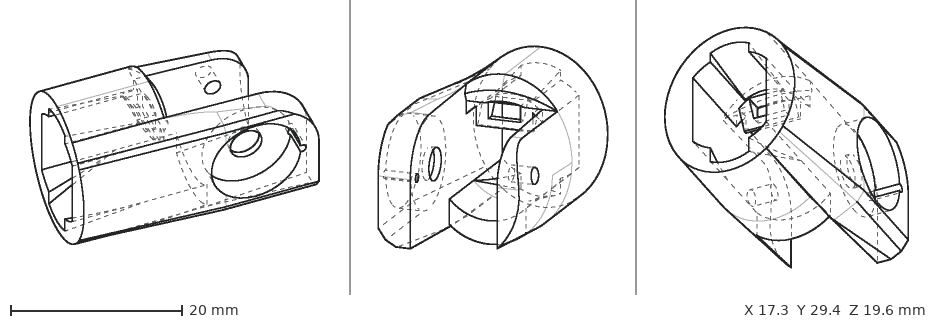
import cadquery as cq
import math

half_width = 8.45
half_height = 9.8
length = 29.43
upper_end = 11.55
lower_end = 16.92

bore_radius = 6.5
bore_half_width = 4.77
bore_corner_height = math.sqrt(bore_radius ** 2 - bore_half_width ** 2)

left_length = 26.02
left_tip_half_width = 7.53
left_tip_half_height = 8.68
left_top_root = 6.03
left_top_tip = 5.45
left_corner_radius = 4.85

right_outer = 8.8
right_top_root = 8.05
right_top_tip = 7.7
right_corner_radius = 6.18
right_side_top = 7.0
right_shoulder_x = 8.25
right_shoulder_z = 7.7
right_blend_length = 17.65
right_side_bottom = -4.77
right_bottom_x = 7.9
right_bottom_z = -6.1
arm_bottom_tip = -6.83
arm_bottom_root = -7.83

pivot_y = 21.5
pivot_z = 1.2
left_pivot_diameter = 1.97
right_pivot_diameter = 3.95
recess_diameter = 11.18
recess_floor = 5.65
pin_y = 27.28
pin_diameter = 1.0

key_half_width = 2.5
key_length = 9.2
top_key_crown = 7.83
top_key_crown_end = 6.77
bottom_key_crown = 8.5
key_crown_rise = 0.62

frame_half_width = 3.53
frame_bottom = 3.15
frame_top = 6.2
frame_thickness = 0.45
window_half_width = 2.0
window_bottom = 4.15

lip_end = 12.55
lip_tip_height = 8.05

margin = 2.95


def section(y):
    """Workplane across the axis at y, with local x = X and local y = Z."""
    return cq.Workplane("XZ", origin=(0, y, 0))


def box(x0, x1, y0, y1, z0, z1):
    return cq.Workplane("XY").box(x1 - x0, y1 - y0, z1 - z0, centered=False).translate((x0, y0, z0))


def side_prism(points, x0, x1):
    """Prism along X from an outline of (y, z) points."""
    return cq.Workplane("YZ", origin=(x0, 0, 0)).polyline(points).close().extrude(x1 - x0)


def loft(*wires):
    return cq.Workplane(cq.Solid.makeLoft([wire.val() for wire in wires], True))


def tapered_body():
    """Solid elliptical body, straight at first and tapering behind the upper wall."""
    return loft(
        section(0).ellipse(half_width, half_height),
        section(upper_end).ellipse(half_width, half_height),
        section(left_length).ellipse(left_tip_half_width, left_tip_half_height),
    )


def tube():
    """Elliptical tube up to the inner face of the right arm, which forms the rest."""
    lower_limit = box(-half_width, bore_half_width, 0, lower_end, -half_height, 0)
    upper_limit = box(-half_width, bore_half_width, 0, upper_end, 0, half_height)
    return tapered_body().intersect(lower_limit.union(upper_limit))


def arm_outline(end, top_root, top_tip, radius, x0, x1):
    """Side profile of an arm with its upper rear corner rounded."""
    bottom_slope = (arm_bottom_tip - arm_bottom_root) / (length - lower_end)
    bottom_end = arm_bottom_tip - bottom_slope * (length - end)
    points = [
        (0, -half_height),
        (lower_end, -half_height),
        (lower_end, arm_bottom_root),
        (end, bottom_end),
        (end, top_tip),
        (upper_end, top_root),
        (upper_end, half_height),
        (0, half_height),
    ]
    corner = cq.selectors.NearestToPointSelector(((x0 + x1) / 2, end, top_tip))
    return side_prism(points, x0, x1).edges(corner).fillet(radius)


def left_arm():
    outline = arm_outline(
        left_length, left_top_root, left_top_tip, left_corner_radius, -half_width, -bore_half_width
    )
    return tapered_body().intersect(outline)


def right_arm():
    def on_ellipse(degrees):
        angle = math.radians(degrees)
        return half_width * math.cos(angle), half_height * math.sin(angle)

    inner_angle = math.degrees(math.acos(bore_half_width / half_width))
    corner_angle = 35
    shoulder_angle = 40
    front = (
        section(0)
        .moveTo(*on_ellipse(-inner_angle))
        .threePointArc(on_ellipse(-(inner_angle + shoulder_angle) / 2), on_ellipse(-shoulder_angle))
        .threePointArc(on_ellipse(-(corner_angle + shoulder_angle) / 2), on_ellipse(-corner_angle))
        .threePointArc(on_ellipse(0), on_ellipse(corner_angle))
        .threePointArc(on_ellipse((corner_angle + shoulder_angle) / 2), on_ellipse(shoulder_angle))
        .threePointArc(on_ellipse((inner_angle + shoulder_angle) / 2), on_ellipse(inner_angle))
        .close()
    )

    def flat_sided(y):
        return (
            section(y)
            .moveTo(bore_half_width, arm_bottom_root)
            .lineTo(right_bottom_x, right_bottom_z)
            .lineTo(right_outer, right_side_bottom)
            .lineTo(right_outer, right_side_top)
            .lineTo(right_shoulder_x, right_shoulder_z)
            .lineTo(bore_half_width, right_top_root)
            .close()
        )

    outline = arm_outline(
        length, right_top_root, right_top_tip, right_corner_radius, bore_half_width, right_outer
    )
    return loft(front, flat_sided(right_blend_length), flat_sided(length)).intersect(outline)


def lip():
    shrink = lip_tip_height / half_height
    taper = loft(
        section(upper_end).ellipse(half_width, half_height),
        section(lip_end).ellipse(half_width * shrink, lip_tip_height),
    )
    wedge = side_prism(
        [
            (upper_end, half_height),
            (lip_end, half_height),
            (lip_end, lip_tip_height),
            (upper_end, left_top_root),
        ],
        -half_width,
        bore_half_width,
    )
    return taper.intersect(wedge)


def bore():
    sides = box(-bore_half_width, bore_half_width, 0, length, -half_height, half_height)
    return section(0).circle(bore_radius).extrude(-length).intersect(sides)


def key_section(y, half, crown, corner):
    """Keyway section: flat on the bore side, arched on the outside."""
    return (
        section(y)
        .moveTo(-half, 0)
        .lineTo(-half, corner)
        .threePointArc((0, crown), (half, corner))
        .lineTo(half, 0)
        .close()
    )


def keyways():
    top = loft(
        key_section(0, key_half_width, top_key_crown, top_key_crown - key_crown_rise),
        key_section(key_length, key_half_width, top_key_crown_end, top_key_crown_end - key_crown_rise),
    )
    bottom = loft(
        key_section(0, key_half_width, -bottom_key_crown, key_crown_rise - bottom_key_crown),
        key_section(key_length, bore_half_width, -bore_radius, -bore_corner_height),
    )
    return top.union(bottom)


def window_frame():
    plate = side_prism(
        [
            (key_length, frame_top),
            (key_length, bore_radius + frame_thickness),
            (upper_end, bore_radius + frame_thickness),
            (upper_end, frame_bottom),
            (upper_end - frame_thickness, frame_bottom),
        ],
        -frame_half_width,
        frame_half_width,
    )
    window = box(-window_half_width, window_half_width, 0, length, window_bottom, frame_top)
    return plate.cut(window)


def cross_hole(y, diameter, x0, x1):
    return cq.Workplane("YZ", origin=(x0, y, pivot_z)).circle(diameter / 2).extrude(x1 - x0)


result = tube().union(left_arm()).union(right_arm()).union(lip())
result = result.cut(bore()).cut(keyways()).union(window_frame())
result = result.cut(cross_hole(pivot_y, left_pivot_diameter, -half_width - margin, 0))
result = result.cut(cross_hole(pivot_y, right_pivot_diameter, 0, right_outer + margin))
result = result.cut(cross_hole(pin_y, pin_diameter, 0, right_outer + margin))
result = result.cut(cross_hole(pivot_y, recess_diameter, recess_floor, right_outer + margin))